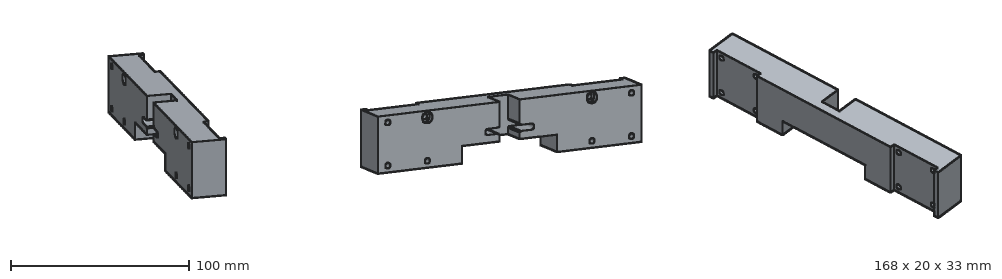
import cadquery as cq

LENGTH = 168.0
DEPTH = 20.0
HEIGHT = 33.0

RELIEF_WIDTH = 60.5
RELIEF_HEIGHT = 10.0

LIP_WIDTH = 3.0
PAD_WIDTH = 98.1
RECESS_DEPTH = 3.0

CHANNEL_WIDTH = 12.8
CHANNEL_DEPTH = 14.0
SLOT_LENGTH = 31.0
SLOT_HEIGHT = 3.5
SLOT_MOUTH_CHAMFER = 0.8

HOLE_DIAMETER = 3.2
HOLE_END_OFFSET = 6.4
HOLE_EDGE_OFFSET = 4.0
HOLE_SPACING = 25.2
COUNTERBORE_DIAMETER = 6.4
COUNTERBORE_DEPTH = 3.4

OUTER_HOLE_X = LENGTH / 2 - HOLE_END_OFFSET
INNER_HOLE_X = OUTER_HOLE_X - HOLE_SPACING
LOWER_HOLE_Z = HOLE_EDGE_OFFSET
UPPER_HOLE_Z = HEIGHT - HOLE_EDGE_OFFSET


def box(width, depth, height, x=0, y=0, z=0):
    """Box centred on x, rising from y and z."""
    return cq.Workplane("XY").box(width, depth, height, centered=(True, False, False)).translate((x, y, z))


def bore(x, z, diameter, depth):
    """Cylinder running backward from the front face."""
    return cq.Workplane("XZ", origin=(x, 0, z)).circle(diameter / 2).extrude(-depth)


def block():
    body = box(LENGTH, DEPTH, HEIGHT)
    body = body.cut(box(RELIEF_WIDTH, DEPTH, RELIEF_HEIGHT))
    recess_length = (LENGTH - PAD_WIDTH) / 2 - LIP_WIDTH
    recess_x = (PAD_WIDTH + recess_length) / 2
    for side in (-1, 1):
        body = body.cut(box(recess_length, RECESS_DEPTH, HEIGHT, side * recess_x, DEPTH - RECESS_DEPTH))
    return body


def channel_and_slot():
    """Cross-shaped cutter with rounded slot ends and chamfered slot mouths."""
    slot = (
        cq.Workplane("XZ", origin=(0, 0, HEIGHT / 2))
        .slot2D(SLOT_LENGTH, SLOT_HEIGHT)
        .extrude(-CHANNEL_DEPTH)
    )
    mouth_half_width = CHANNEL_WIDTH / 2 + SLOT_MOUTH_CHAMFER
    mouth_half_height = SLOT_HEIGHT / 2 + SLOT_MOUTH_CHAMFER
    mouth = (
        cq.Workplane("XZ", origin=(0, 0, HEIGHT / 2))
        .moveTo(-CHANNEL_WIDTH / 2, mouth_half_height)
        .lineTo(CHANNEL_WIDTH / 2, mouth_half_height)
        .lineTo(mouth_half_width, SLOT_HEIGHT / 2)
        .lineTo(mouth_half_width, -SLOT_HEIGHT / 2)
        .lineTo(CHANNEL_WIDTH / 2, -mouth_half_height)
        .lineTo(-CHANNEL_WIDTH / 2, -mouth_half_height)
        .lineTo(-mouth_half_width, -SLOT_HEIGHT / 2)
        .lineTo(-mouth_half_width, SLOT_HEIGHT / 2)
        .close()
        .extrude(-CHANNEL_DEPTH)
    )
    return box(CHANNEL_WIDTH, CHANNEL_DEPTH, HEIGHT).union(slot).union(mouth)


result = block().cut(channel_and_slot())
for side in (-1, 1):
    for hole_x in (INNER_HOLE_X, OUTER_HOLE_X):
        for hole_z in (LOWER_HOLE_Z, UPPER_HOLE_Z):
            result = result.cut(bore(side * hole_x, hole_z, HOLE_DIAMETER, DEPTH))
    result = result.cut(bore(side * INNER_HOLE_X, UPPER_HOLE_Z, COUNTERBORE_DIAMETER, COUNTERBORE_DEPTH))